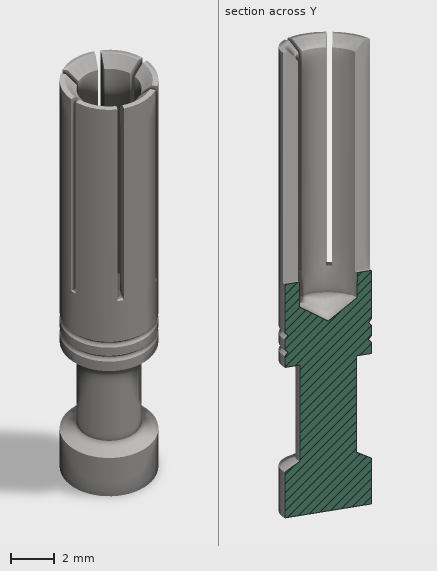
import cadquery as cq
import math

total_length = 22.2
outer_diameter = 4.5
outer_radius = outer_diameter / 2

head_height = 2.2
head_cone_top = 2.6
collar_bottom = 7.2
groove_centers = (7.9, 8.7)
slot_bottom = 11.19

stem_radius = 1.49
groove_width = 0.33
groove_depth = 0.15

bore_radius = 1.49
bore_bottom = 10.0
drill_point_angle = 118.0
mouth_radius = 2.0
mouth_depth = 0.5

slot_width = 0.29
through_slot_count = 3


def revolve_profile(points):
    """Turn a closed (radius, height) outline around the Z axis."""
    return cq.Workplane("XZ").polyline(points).close().revolve(360, (0, 0), (0, 1))


def turned_body():
    points = [
        (0, 0),
        (outer_radius, 0),
        (outer_radius, head_height),
        (stem_radius, head_cone_top),
        (stem_radius, collar_bottom),
        (outer_radius, collar_bottom),
    ]
    for center in groove_centers:
        points += [
            (outer_radius, center - groove_width / 2),
            (outer_radius - groove_depth, center),
            (outer_radius, center + groove_width / 2),
        ]
    points += [(outer_radius, total_length), (0, total_length)]
    return revolve_profile(points)


def socket_bore():
    """Blind bore with a drill point and a flared mouth."""
    point_depth = bore_radius / math.tan(math.radians(drill_point_angle / 2))
    return revolve_profile([
        (0, bore_bottom - point_depth),
        (bore_radius, bore_bottom),
        (bore_radius, total_length - mouth_depth),
        (mouth_radius, total_length),
        (0, total_length),
    ])


def finger_slots():
    """Slots across the full diameter, evenly spread, open at the top."""
    slot_length = 2 * outer_radius + slot_width
    slot = cq.Workplane("XY").workplane(offset=slot_bottom).rect(slot_length, slot_width)
    slot = slot.extrude(total_length - slot_bottom)
    slots = slot
    for index in range(1, through_slot_count):
        angle = index * 180 / through_slot_count
        slots = slots.union(slot.rotate((0, 0, 0), (0, 0, 1), angle))
    return slots


result = turned_body().cut(socket_bore()).cut(finger_slots())